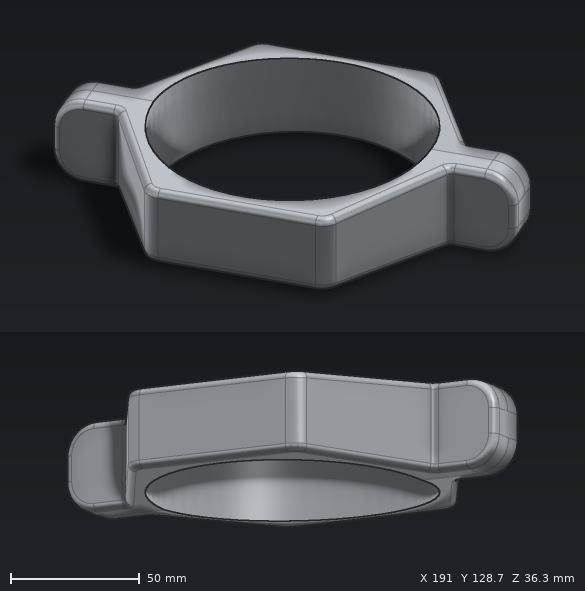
import cadquery as cq
import math

length = 191.0
across_flats = 128.7
ridge_height = 36.3
bore_diameter = 114.2
handle_width = 20.2
face_slope = 2.0
hexagon_corner_radius = 8.2
handle_root_radius = 2.9
handle_end_radius = 12.8
rim_radius = 3.0

corner_to_corner = across_flats / math.cos(math.radians(30))
corner_x = corner_to_corner / 2
root_x = corner_x - handle_width / 2 / math.tan(math.radians(60))
half_depth = across_flats / 2
edge_drop = half_depth * math.tan(math.radians(face_slope))


def make_plan():
    """Hexagonal ring blank with handles on two opposite corners."""
    hexagon = (
        cq.Workplane("XY")
        .polygon(6, corner_to_corner)
        .extrude(ridge_height / 2, both=True)
        .edges("|Z")
        .edges(">Y or <Y")
        .fillet(hexagon_corner_radius)
    )
    handles = cq.Workplane("XY").box(length, handle_width, ridge_height)
    root_edges = cq.selectors.BoxSelector(
        (-root_x - rim_radius, -handle_width, -ridge_height),
        (root_x + rim_radius, handle_width, ridge_height),
    )
    return hexagon.union(handles).edges("|Z").edges(root_edges).fillet(handle_root_radius)


def make_sloped_envelope():
    """Bar with its top and bottom each sloping away from a central ridge."""
    top = ridge_height / 2
    side_top = top - edge_drop
    outline = [
        (0, top),
        (half_depth, side_top),
        (half_depth, -side_top),
        (0, -top),
        (-half_depth, -side_top),
        (-half_depth, side_top),
    ]
    return cq.Workplane("YZ").polyline(outline).close().extrude(length / 2, both=True)


body = make_plan().intersect(make_sloped_envelope())

body = body.faces("<X or >X").edges("not |Z").fillet(handle_end_radius)
body = body.faces("<X or >X").edges("|Z").fillet(rim_radius)

bore = cq.Workplane("XY").circle(bore_diameter / 2).extrude(ridge_height, both=True)
result = body.cut(bore)